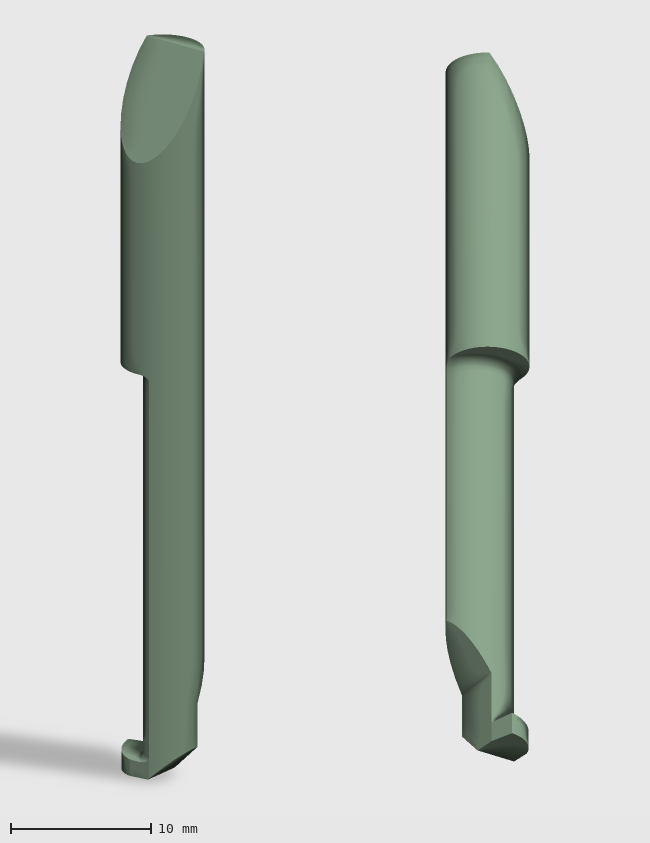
import cadquery as cq
import math

bar_length = 55.0
bar_radius = 3.0
end_angle = 30.0
top_flat_y = 1.5

neck_offset = 2.05
neck_left_x = neck_offset - bar_radius
neck_edge_x = neck_offset / 2
neck_edge_y = math.sqrt(bar_radius**2 - neck_edge_x**2)
shoulder_z = 31.1
neck_fillet = 0.5

back_flat_y = 0.3
back_flat_top_z = 5.65
corner_chamfer_z = 2.3

tip_radius = 2.94
nose_y = -0.2
tip_height = 1.65
tip_relief = 0.3
tip_bottom_rise = 0.2
facet_x = -0.7

clearance = 5.5


def prism_along_x(points):
    """Prism of a YZ outline, spanning the whole bar in X."""
    return cq.Workplane("YZ").polyline(points).close().extrude(clearance, both=True)


def top_slope():
    """Wedge in front of the sloping face at the top end."""
    run = top_flat_y + clearance
    low_z = bar_length - run / math.tan(math.radians(end_angle))
    return prism_along_x([(top_flat_y, bar_length), (-clearance, bar_length), (-clearance, low_z)])


def back_relief():
    """Space behind the flat and the slope at the back of the lower end."""
    run = clearance - back_flat_y
    high_z = back_flat_top_z + run / math.tan(math.radians(end_angle))
    return prism_along_x([
        (back_flat_y, -clearance),
        (back_flat_y, back_flat_top_z),
        (clearance, high_z),
        (clearance, -clearance),
    ])


def corner_cut():
    """45 degree cut across the bottom +X corner."""
    start_x = bar_radius - corner_chamfer_z
    end_x = bar_radius + clearance
    return (
        cq.Workplane("XZ")
        .polyline([(start_x, 0), (end_x, end_x - start_x), (end_x, 0)])
        .close()
        .extrude(clearance, both=True)
    )


def left_of_neck_edge(height):
    """Block on the -X side of the neck edge, rising from the bottom end."""
    block = cq.Workplane("XY").box(2 * clearance, 2 * clearance, height, centered=(True, True, False))
    return block.translate((neck_edge_x - clearance, 0, 0))


def neck_flare(end_z, direction):
    """Disc with a concave rim that widens from the neck up (+1) or down (-1) to end_z."""
    start_z = end_z - direction * neck_fillet
    return (
        cq.Workplane("XZ")
        .moveTo(0, start_z)
        .lineTo(bar_radius, start_z)
        .radiusArc((bar_radius + neck_fillet, end_z), direction * neck_fillet)
        .lineTo(0, end_z)
        .close()
        .revolve(360, (0, 0, 0), (0, 1, 0))
        .translate((neck_offset, 0, 0))
    )


def neck_cut():
    """Space beside the neck, leaving fillets at the shoulder and above the tip."""
    core = cq.Workplane("XY").center(neck_offset, 0).circle(bar_radius).extrude(shoulder_z)
    foot = neck_flare(tip_height - tip_relief, -1).intersect(tip_plan(shoulder_z))
    return left_of_neck_edge(shoulder_z).cut(core).cut(neck_flare(shoulder_z, 1)).cut(foot)


def below_tip_top():
    """Space under the tip's top face, which drops toward the front from the nose."""
    return prism_along_x([
        (clearance, 0),
        (-bar_radius, 0),
        (-bar_radius, tip_height - tip_relief),
        (nose_y, tip_height),
        (clearance, tip_height),
    ])


def tip_bottom_cut():
    """Wedge under the tip that rises from the nose toward +X."""
    return (
        cq.Workplane("XZ")
        .polyline([(-tip_radius, 0), (neck_edge_x, tip_bottom_rise), (neck_edge_x, 0)])
        .close()
        .extrude(clearance, both=True)
    )


def tip_plan(height):
    """Outline of the tip, seen along Z, extruded from the bottom end."""
    nose_x = -math.sqrt(tip_radius**2 - nose_y**2)
    facet_y = -math.sqrt(tip_radius**2 - facet_x**2)
    middle = tip_radius * math.sqrt(0.5)
    return (
        cq.Workplane("XY")
        .moveTo(nose_x, nose_y)
        .threePointArc((-middle, -middle), (facet_x, facet_y))
        .lineTo(neck_edge_x, -neck_edge_y)
        .lineTo(neck_edge_x, back_flat_y)
        .lineTo(neck_left_x, back_flat_y)
        .close()
        .extrude(height)
    )


def tip_seat():
    """Recess under the neck that receives the cutting tip."""
    return below_tip_top().intersect(left_of_neck_edge(tip_height))


def make_bar():
    bar = cq.Workplane("XY").circle(bar_radius).extrude(bar_length)
    for cutter in (top_slope(), neck_cut(), back_relief(), corner_cut(), tip_seat()):
        bar = bar.cut(cutter)
    return bar


def make_tip():
    tip = tip_plan(tip_height).intersect(below_tip_top())
    return tip.cut(tip_bottom_cut()).cut(corner_cut())


bar = make_bar()
tip = make_tip()
result = cq.Compound.makeCompound([bar.val(), tip.val()])